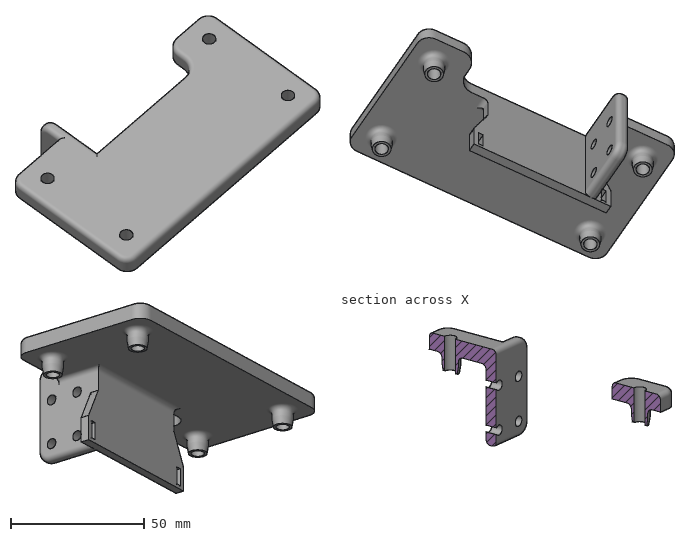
import cadquery as cq

TOTAL_HEIGHT = 39.0

PLATE_LEFT = 10.0
PLATE_RIGHT = 70.0
PLATE_HALF_LENGTH = 55.0
PLATE_THICKNESS = 7.0
PLATE_BOTTOM = TOTAL_HEIGHT - PLATE_THICKNESS
PLATE_CORNER_RADIUS = 5.0
EDGE_RADIUS = 2.0

NOTCH_X = 25.0
NOTCH_TOP_Y = 32.0
NOTCH_BOTTOM_Y = -23.0
NOTCH_RADIUS = 6.0

BOSS_X = (20.0, 60.0)
BOSS_Y = (-45.0, 45.0)
BOSS_HEIGHT = 7.0
BOSS_STRAIGHT_HEIGHT = 4.0
BOSS_RADIUS = 4.0
BOSS_TIP_RADIUS = 3.5
BOSS_HOLE_DIAMETER = 5.0
ROOT_RADIUS = 2.0

WALL_THICKNESS = 5.0
WALL_OUTER_Y = NOTCH_BOTTOM_Y - WALL_THICKNESS
WALL_CORNER_RADIUS = 5.0
WALL_HOLE_DIAMETER = 4.0
WALL_HOLE_X = (6.5, 18.5)
WALL_HOLE_Z = (6.5, 24.5)

WEB_THICKNESS = 3.5
WEB_RIGHT = NOTCH_X + WEB_THICKNESS
WEB_END_Y = 19.0
EAR_WIDTH = 6.0
EAR_SIDE_HEIGHT = 10.0
EAR_TOP = 22.5
SLOT_WIDTH = 2.0
SLOT_HEIGHT = 7.0
SLOT_CENTER_Z = EAR_SIDE_HEIGHT / 2


def make_plate():
    """Notched plate with rounded corners and square rims."""
    plate = (
        cq.Workplane("XY")
        .workplane(offset=PLATE_BOTTOM)
        .moveTo(PLATE_LEFT, -PLATE_HALF_LENGTH)
        .lineTo(PLATE_RIGHT, -PLATE_HALF_LENGTH)
        .lineTo(PLATE_RIGHT, PLATE_HALF_LENGTH)
        .lineTo(PLATE_LEFT, PLATE_HALF_LENGTH)
        .lineTo(PLATE_LEFT, NOTCH_TOP_Y)
        .lineTo(NOTCH_X, NOTCH_TOP_Y)
        .lineTo(NOTCH_X, NOTCH_BOTTOM_Y)
        .lineTo(PLATE_LEFT, NOTCH_BOTTOM_Y)
        .close()
        .extrude(PLATE_THICKNESS)
    )
    outer_corners = "(>X or <X) and (>Y or <Y)"
    plate = plate.edges("|Z").edges(outer_corners).fillet(PLATE_CORNER_RADIUS)
    middle_z = PLATE_BOTTOM + PLATE_THICKNESS / 2
    for x in (PLATE_LEFT, NOTCH_X):
        corner = cq.selectors.NearestToPointSelector((x, NOTCH_TOP_Y, middle_z))
        plate = plate.edges("|Z").edges(corner).fillet(NOTCH_RADIUS)
    return plate


def make_wall():
    """Side wall with rounded corners at its free left end."""
    wall = cq.Workplane("XY").box(NOTCH_X, WALL_THICKNESS, TOTAL_HEIGHT, centered=False)
    wall = wall.translate((0, WALL_OUTER_Y, 0))
    return wall.edges("|Y and <X").fillet(WALL_CORNER_RADIUS)


def round_rims(body):
    """Round the top rim of the plate, which runs on around both faces of the side wall."""
    wall_corner_seam = cq.selectors.NearestToPointSelector(
        (WALL_CORNER_RADIUS, WALL_OUTER_Y + WALL_THICKNESS / 2, TOTAL_HEIGHT)
    )
    top_edges = body.faces(">Z").edges()
    rim = top_edges.edges(cq.selectors.InverseSelector(wall_corner_seam))
    return rim.fillet(EDGE_RADIUS)


def make_web():
    """Hanging web with a sloped strap ear at each end."""
    front_y = WALL_OUTER_Y
    back_y = WEB_END_Y
    web = (
        cq.Workplane("YZ")
        .workplane(offset=NOTCH_X)
        .moveTo(front_y - EAR_WIDTH, 0)
        .lineTo(back_y + EAR_WIDTH, 0)
        .lineTo(back_y + EAR_WIDTH, EAR_SIDE_HEIGHT)
        .lineTo(back_y, EAR_TOP)
        .lineTo(back_y, PLATE_BOTTOM)
        .lineTo(front_y, PLATE_BOTTOM)
        .lineTo(front_y, EAR_TOP)
        .lineTo(front_y - EAR_WIDTH, EAR_SIDE_HEIGHT)
        .close()
        .extrude(WEB_THICKNESS)
    )
    slot_centers = [(y, SLOT_CENTER_Z) for y in (front_y - EAR_WIDTH / 2, back_y + EAR_WIDTH / 2)]
    slots = (
        cq.Workplane("YZ")
        .workplane(offset=NOTCH_X)
        .pushPoints(slot_centers)
        .rect(SLOT_WIDTH, SLOT_HEIGHT)
        .extrude(WEB_THICKNESS)
    )
    return web.cut(slots)


def round_plate_joint(body):
    """Fillet the inner corner where the wall and web meet the underside of the plate."""
    margin = 0.1
    joint = cq.selectors.BoxSelector(
        (PLATE_LEFT + margin, WALL_OUTER_Y - margin, PLATE_BOTTOM - margin),
        (WEB_RIGHT + margin, WEB_END_Y + margin, PLATE_BOTTOM + margin),
    )
    return body.edges(joint).fillet(ROOT_RADIUS)


def make_boss(x, y):
    """Boss with a flared root, a straight part and a tapered tip."""
    profile = (
        cq.Workplane("XZ")
        .lineTo(BOSS_RADIUS + ROOT_RADIUS, 0)
        .radiusArc((BOSS_RADIUS, -ROOT_RADIUS), -ROOT_RADIUS)
        .lineTo(BOSS_RADIUS, -BOSS_STRAIGHT_HEIGHT)
        .lineTo(BOSS_TIP_RADIUS, -BOSS_HEIGHT)
        .lineTo(0, -BOSS_HEIGHT)
        .close()
    )
    return profile.revolve(360, (0, 0), (0, 1)).translate((x, y, PLATE_BOTTOM))


def make_boss_hole(x, y):
    """Through hole of a boss and the plate above it."""
    hole = cq.Workplane("XY").circle(BOSS_HOLE_DIAMETER / 2).extrude(TOTAL_HEIGHT)
    return hole.translate((x, y, 0))


def make_wall_holes():
    """Four screw holes through the side wall."""
    return (
        cq.Workplane("XZ", origin=(0, NOTCH_BOTTOM_Y, 0))
        .pushPoints([(x, z) for x in WALL_HOLE_X for z in WALL_HOLE_Z])
        .circle(WALL_HOLE_DIAMETER / 2)
        .extrude(WALL_THICKNESS)
    )


result = round_rims(make_plate().union(make_wall()))
result = result.union(make_web())
result = round_plate_joint(result)
result = result.cut(make_wall_holes())
for boss_x in BOSS_X:
    for boss_y in BOSS_Y:
        result = result.union(make_boss(boss_x, boss_y))
        result = result.cut(make_boss_hole(boss_x, boss_y))